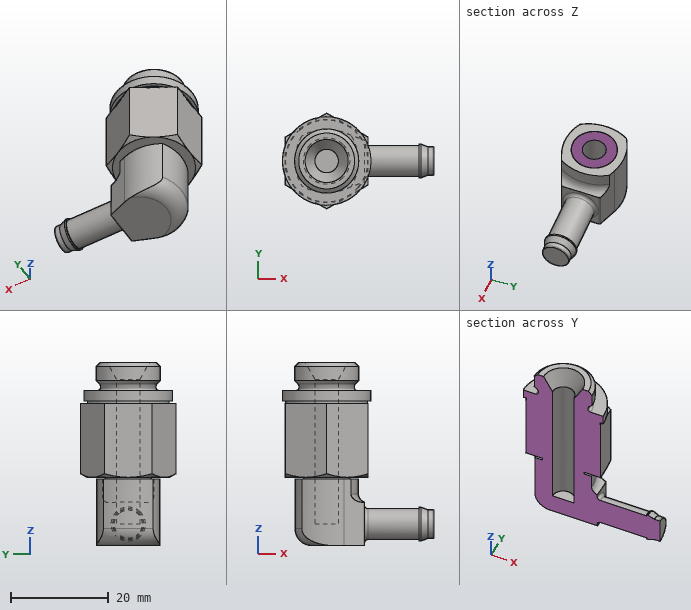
import cadquery as cq
import math


TOTAL_HEIGHT = 37.55
THREAD_HEIGHT = 5.75
FLANGE_THICKNESS = 2.2
COLLAR_HEIGHT = 0.45
HEX_BOTTOM = 14.0
ELBOW_HEIGHT = 13.67
FLANGE_TOP = TOTAL_HEIGHT - THREAD_HEIGHT
COLLAR_TOP = FLANGE_TOP - FLANGE_THICKNESS
HEX_TOP = COLLAR_TOP - COLLAR_HEIGHT

THREAD_RADIUS = 13.16 / 2
NECK_RADIUS = 11.45 / 2
THREAD_CHAMFER = THREAD_RADIUS - NECK_RADIUS
THREAD_BAND = 2.9
NECK_FILLET = 0.5
FLANGE_RADIUS = 18.15 / 2
HEX_FLATS = 17.0
HEX_CORNERS = HEX_FLATS / math.cos(math.radians(30))
HEX_CHAMFER_ANGLE = 30
COLLAR_RADIUS = 16.8 / 2
SPACER_RADIUS = 9.5 / 2

BORE_RADIUS = 4.8 / 2
COUNTERSINK_RADIUS = 8.83 / 2
COUNTERSINK_HALF_ANGLE = 30
COUNTERSINK_DEPTH = (COUNTERSINK_RADIUS - BORE_RADIUS) / math.tan(math.radians(COUNTERSINK_HALF_ANGLE))

ELBOW_REACH = 6.5
SIDE_RADIUS = 10.0
SIDE_CENTRE = SIDE_RADIUS - ELBOW_REACH
BACK_FILLET = 3.5
NOSE_ANGLE = 21
NOSE_X = 7.78
NOSE_EDGE_FILLET = 0.2
SHOULDER_Z = 8.88
SHOULDER_FILLET = 1.75

TAIL_Z = 4.42
OVERALL_LENGTH = 31.07
TAIL_END_X = OVERALL_LENGTH - FLANGE_RADIUS
TAIL_RADIUS = 6.4 / 2
TAIL_FILLET = 0.66
BARB_RADIUS = 7.0 / 2
BARB_START_X = 18.95
BARB_LAND = 0.32
TIP_RADIUS = 5.9 / 2
TIP_LENGTH = 1.27
TIP_CHAMFER_LENGTH = 0.26
TIP_CHAMFER_DEPTH = 0.08


def cylinder(radius, bottom, top):
    return cq.Workplane("XY").workplane(offset=bottom).circle(radius).extrude(top - bottom)


def quarter_arc_step(radius):
    """Inset of a quarter arc's midpoint from each of the two lines it is tangent to."""
    return radius * (1 - math.cos(math.radians(45)))


def revolve_about_z(profile, axis_x=0.0):
    """Revolve an XZ profile, drawn with its own axis at X = 0, about the vertical line X = axis_x."""
    return profile.revolve(360, (0, 0, 0), (0, 1, 0)).translate((axis_x, 0, 0))


def make_thread():
    """Chamfered spigot with an undercut that blends into the flange."""
    band_top = TOTAL_HEIGHT - THREAD_CHAMFER
    band_bottom = band_top - THREAD_BAND
    undercut_z = band_bottom - THREAD_CHAMFER
    flank_angle = math.radians(45)
    half_turn = flank_angle / 2
    tangent = NECK_FILLET * math.tan(half_turn)
    flank_run = tangent * math.cos(flank_angle)
    upper_centre = (NECK_RADIUS + NECK_FILLET, undercut_z - tangent)
    mid_angle = math.pi - half_turn
    upper_mid = (
        upper_centre[0] + NECK_FILLET * math.cos(mid_angle),
        upper_centre[1] + NECK_FILLET * math.sin(mid_angle),
    )
    lower_mid_step = quarter_arc_step(NECK_FILLET)
    profile = (
        cq.Workplane("XZ")
        .moveTo(0, TOTAL_HEIGHT)
        .lineTo(NECK_RADIUS, TOTAL_HEIGHT)
        .lineTo(THREAD_RADIUS, band_top)
        .lineTo(THREAD_RADIUS, band_bottom)
        .lineTo(NECK_RADIUS + flank_run, undercut_z + flank_run)
        .threePointArc(upper_mid, (NECK_RADIUS, undercut_z - tangent))
        .lineTo(NECK_RADIUS, FLANGE_TOP + NECK_FILLET)
        .threePointArc(
            (NECK_RADIUS + lower_mid_step, FLANGE_TOP + lower_mid_step),
            (NECK_RADIUS + NECK_FILLET, FLANGE_TOP),
        )
        .lineTo(0, FLANGE_TOP)
        .close()
    )
    return revolve_about_z(profile)


def make_hexagon():
    """Hexagon with flats facing +X and -X, its lower corners turned off to a cone."""
    prism = (
        cq.Workplane("XY")
        .workplane(offset=HEX_BOTTOM)
        .transformed(rotate=(0, 0, 30))
        .polygon(6, HEX_CORNERS)
        .extrude(HEX_TOP - HEX_BOTTOM)
    )
    cone_bottom_radius = HEX_FLATS / 2
    cone_rise = HEX_TOP - HEX_BOTTOM
    cone_top_radius = cone_bottom_radius + cone_rise / math.tan(math.radians(HEX_CHAMFER_ANGLE))
    cone = (
        cq.Workplane("XZ")
        .moveTo(0, HEX_BOTTOM)
        .lineTo(cone_bottom_radius, HEX_BOTTOM)
        .lineTo(cone_top_radius, HEX_TOP)
        .lineTo(0, HEX_TOP)
        .close()
    )
    return prism.intersect(revolve_about_z(cone))


def make_elbow_block():
    """Block whose curved sides run tangentially into a flat-sided nose."""
    back_x = -ELBOW_REACH
    angle = math.radians(NOSE_ANGLE)
    nose_start_x = SIDE_RADIUS * math.sin(angle)
    nose_start_y = SIDE_RADIUS * math.cos(angle) - SIDE_CENTRE
    nose_edge_y = nose_start_y - (NOSE_X - nose_start_x) * math.tan(angle)
    back_y = math.sqrt(SIDE_RADIUS**2 - back_x**2) - SIDE_CENTRE
    block = (
        cq.Workplane("XY")
        .moveTo(NOSE_X, -nose_edge_y)
        .lineTo(NOSE_X, nose_edge_y)
        .lineTo(nose_start_x, nose_start_y)
        .threePointArc((0, ELBOW_REACH), (back_x, back_y))
        .lineTo(back_x, -back_y)
        .threePointArc((0, -ELBOW_REACH), (nose_start_x, -nose_start_y))
        .close()
        .extrude(ELBOW_HEIGHT)
    )
    return block.edges("|Z and >X").fillet(NOSE_EDGE_FILLET)


def make_back_envelope():
    """Large upright cylinder with a rounded lower rim that shapes the back of the elbow."""
    axis_x = SIDE_CENTRE
    step = quarter_arc_step(BACK_FILLET)
    profile = (
        cq.Workplane("XZ")
        .lineTo(SIDE_RADIUS - BACK_FILLET, 0)
        .threePointArc((SIDE_RADIUS - step, step), (SIDE_RADIUS, BACK_FILLET))
        .lineTo(SIDE_RADIUS, ELBOW_HEIGHT)
        .lineTo(0, ELBOW_HEIGHT)
        .close()
    )
    return revolve_about_z(profile, axis_x)


def make_front_relief():
    """Ring removed above the shoulder; leaves an upright curved face with a fillet at its foot."""
    axis_x = -SIDE_CENTRE
    outer_radius = 2 * SIDE_RADIUS
    step = quarter_arc_step(SHOULDER_FILLET)
    profile = (
        cq.Workplane("XZ")
        .moveTo(SIDE_RADIUS, ELBOW_HEIGHT)
        .lineTo(SIDE_RADIUS, SHOULDER_Z + SHOULDER_FILLET)
        .threePointArc(
            (SIDE_RADIUS + step, SHOULDER_Z + step),
            (SIDE_RADIUS + SHOULDER_FILLET, SHOULDER_Z),
        )
        .lineTo(outer_radius, SHOULDER_Z)
        .lineTo(outer_radius, ELBOW_HEIGHT)
        .close()
    )
    return revolve_about_z(profile, axis_x)


def make_elbow():
    return make_elbow_block().intersect(make_back_envelope()).cut(make_front_relief())


def make_hose_tail():
    """Tube along +X with a root fillet, one barb and a slightly chamfered tip."""
    step = quarter_arc_step(TAIL_FILLET)
    tip_start_x = TAIL_END_X - TIP_LENGTH
    return (
        cq.Workplane("XZ")
        .lineTo(0, TAIL_RADIUS)
        .lineTo(NOSE_X, TAIL_RADIUS)
        .lineTo(NOSE_X, TAIL_RADIUS + TAIL_FILLET)
        .threePointArc(
            (NOSE_X + step, TAIL_RADIUS + step),
            (NOSE_X + TAIL_FILLET, TAIL_RADIUS),
        )
        .lineTo(BARB_START_X, TAIL_RADIUS)
        .lineTo(BARB_START_X, BARB_RADIUS)
        .lineTo(BARB_START_X + BARB_LAND, BARB_RADIUS)
        .lineTo(tip_start_x, TIP_RADIUS)
        .lineTo(TAIL_END_X - TIP_CHAMFER_LENGTH, TIP_RADIUS)
        .lineTo(TAIL_END_X, TIP_RADIUS - TIP_CHAMFER_DEPTH)
        .lineTo(TAIL_END_X, 0)
        .close()
        .revolve(360, (0, 0, 0), (1, 0, 0))
        .translate((0, 0, TAIL_Z))
    )


def make_bore():
    """Countersunk blind bore, reaching down to the axis of the hose tail."""
    profile = (
        cq.Workplane("XZ")
        .moveTo(0, TOTAL_HEIGHT)
        .lineTo(COUNTERSINK_RADIUS, TOTAL_HEIGHT)
        .lineTo(BORE_RADIUS, TOTAL_HEIGHT - COUNTERSINK_DEPTH)
        .lineTo(BORE_RADIUS, TAIL_Z)
        .lineTo(0, TAIL_Z)
        .close()
    )
    return revolve_about_z(profile)


result = (
    make_elbow()
    .union(make_hose_tail())
    .union(cylinder(SPACER_RADIUS, ELBOW_HEIGHT, HEX_BOTTOM))
    .union(make_hexagon())
    .union(cylinder(COLLAR_RADIUS, HEX_TOP, COLLAR_TOP))
    .union(cylinder(FLANGE_RADIUS, COLLAR_TOP, FLANGE_TOP))
    .union(make_thread())
    .cut(make_bore())
)